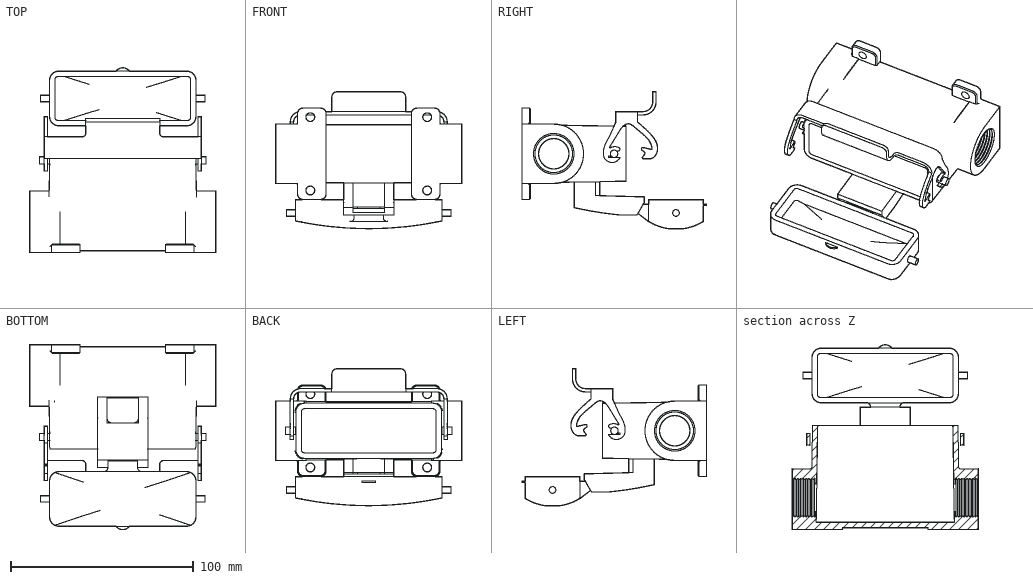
import cadquery as cq
import math


LENGTH = 102.0
BODY_BACK = 1.0
BODY_FRONT = 57.2
BODY_HALF_X = 40.9
BODY_HALF_Z = 16.0
BODY_RADIUS = 5.7
DRAFT_ANGLE = 0.93
BODY_WALL = 3.1

ENTRY_Y = 17.5
ENTRY_RADIUS = 16.3
ENTRY_INNER_X = 34.5
THREAD_MINOR_RADIUS = 10.3
THREAD_DEPTH = 0.8
THREAD_PITCH = 1.5
THREAD_TURNS = 8
ENTRY_HOLE_RADIUS = 8.3
ENTRY_ROOT_FILLET = 0.6
ENTRY_ROOT_ZONE = 3.1

LUG_INNER_X = 23.4
LUG_OUTER_X = 39.1
LUG_HALF_Z = 25.1
LUG_THICKNESS = 4.8
LUG_CORNER = 3.1
LUG_EDGE_CHAMFER = 0.6
LUG_ROOT_FILLET = 0.8
LUG_HOLE_X = 32.0
LUG_HOLE_Z = 20.1
LUG_HOLE_DIAMETER = 4.7

ARM_HALF_X = 13.8
ARM_BACK = 28.8
NECK_FRONT = 40.3
ARM_SEAT = 1.0
ARM_ROOT = ARM_SEAT - BODY_HALF_Z
ARM_BOTTOM = -33.6
ARM_HEEL = -29.6
ARM_CURVE_MIDDLE = (41.4, -32.0)
ARM_CURVE_END_Y = 53.0
ARM_TOP = -22.8
ARM_TIP_TOP = -23.6
ARM_TIP_Y = 67.2
ARM_TIP_SHOULDER = -26.6
ARM_STOP_Y = 63.1
WEB_HALF_X = 8.6
WEB_RECESS = 0.5
WEB_FRONT = 42.8
WEB_BOTTOM = -29.2
WEB_DROP = 0.8
WEB_CORNER = 2.4

COVER_HALF_X = 40.2
COVER_BACK = 69.5
COVER_FRONT = 99.6
COVER_MID_Y = (COVER_BACK + COVER_FRONT) / 2
COVER_RIM = -25.2
COVER_BOTTOM = -41.1
COVER_CORNER = 5.3
COVER_WALL = 3.1
POCKET_CORNER = 1.5
DOME_LONG_RADIUS = 192.8
DOME_SHORT_RADIUS = 28.6
DOME_CLIP = 0.3
DOME_EDGE_FILLET = 0.6
DOME_EDGE_BAND = 1.0

TAB_HALF_X = 8.2
TAB_TOP = -27.5
TAB_TIP_Z = -32.7
TAB_ROOT_Z = -37.1
TAB_ROOT_FILLET = 2.0

EYELET_TIP_Y = 101.4
EYELET_RADIUS = 4.6
EYELET_THICKNESS = 0.8

LEVER_SHEET = 1.9
LEVER_HALF_X = 43.0
LEVER_TOP = 23.2
LEVER_BEND_RADIUS = 5.7
LEVER_BACK = 51.5
LEVER_FRONT = 63.5
HANDLE_HALF_X = 20.3
HANDLE_BEND_START = 66.5
HANDLE_INNER_RADIUS = 5.2
HANDLE_TOP = 34.1
HANDLE_CORNER = 3.1
HANDLE_ROOT_FILLET = 2.0

LATCH_LEG_OUTER = [(67.3, 14.1), (71.6, 9.7), (73.8, 6.1), (74.5, 2.0), (73.2, -1.0), (70.6, -2.9)]
LATCH_LOWER_TIP = [(66.4, -2.9), (66.0, -2.0)]
LATCH_NOTCH = [(67.1, -0.5), (67.4, 0.4), (67.0, 1.1)]
LATCH_UPPER_TIP = [(65.7, 2.0), (65.6, 3.0), (66.5, 3.5)]
LATCH_HEEL = (71.4, 2.3)
LEGS_INNER = [(69.8, 7.1), (64.9, 12.0), (61.2, 15.1), (58.5, 16.4), (56.1, 15.5), (53.8, 12.9)]
PIVOT_HEEL = [(48.1, 3.7), (48.3, 3.2)]
PIVOT_UPPER_EDGE = [(50.5, 3.9), (52.9, 3.6)]
PIVOT_UPPER_TIP = [(53.8, 2.5), (52.8, 1.5)]
PIVOT_RELIEF = [(47.6, -1.2), (47.6, -2.0)]
PIVOT_LOWER_TIP = (53.9, -2.0)
PIVOT_ROUND = [(49.5, -4.8), (44.7, 0)]
PIVOT_LEG_OUTER = [(44.8, 1.9), (45.8, 5.3), (48.3, 10.0)]

PIN_SEAT = 1.0
LEVER_PIN_RADIUS = 2.0
LEVER_PIN_Y = 50.6
LEVER_PIN_FACE_X = 40.1
LEVER_PIN_END_X = 45.7
COVER_PIN_RADIUS = 1.8
COVER_PIN_Z = -32.4
COVER_PIN_END_X = 45.1

SIDES = (-1, 1)


def box(x0, x1, y0, y1, z0, z1):
    """Box between two opposite corners."""
    size = (x1 - x0, y1 - y0, z1 - z0)
    return cq.Workplane("XY").box(*size, centered=False).translate((x0, y0, z0))


def zone(centre, size):
    """Selector of the edges whose middle lies in a cube around a point."""
    half = size / 2
    low = tuple(value - half for value in centre)
    high = tuple(value + half for value in centre)
    return cq.selectors.BoxSelector(low, high)


def profile_plane(x):
    """Sketch plane across the part: local x is Y, local y is Z, extruding towards +X."""
    return cq.Workplane("YZ", origin=(x, 0, 0))


def mirrored(shape):
    """Both the +X shape and its mirror image, as a pair."""
    return shape, shape.mirror("YZ")


def tapered_shell(half_x, half_z, back, corner):
    """Rounded block that tapers from its back to the mating face."""
    plane = cq.Plane(origin=(0, back, 0), xDir=(1, 0, 0), normal=(0, 1, 0))
    outline = cq.Sketch().rect(2 * half_x, 2 * half_z).vertices().fillet(corner)
    return cq.Workplane(plane).placeSketch(outline).extrude(BODY_FRONT - back, taper=DRAFT_ANGLE)


def cable_entry():
    """Round-fronted boss at the +X end."""
    return (
        profile_plane(ENTRY_INNER_X)
        .moveTo(0, -ENTRY_RADIUS)
        .lineTo(ENTRY_Y, -ENTRY_RADIUS)
        .threePointArc((ENTRY_Y + ENTRY_RADIUS, 0), (ENTRY_Y, ENTRY_RADIUS))
        .lineTo(0, ENTRY_RADIUS)
        .close()
        .extrude(LENGTH / 2 - ENTRY_INNER_X)
    )


def fillet_entry_roots(housing):
    """Rounds the arcs where the entries' round fronts meet the shell's flat end walls."""
    for x in (-BODY_HALF_X, BODY_HALF_X):
        arc_zone = zone((x, ENTRY_Y + ENTRY_RADIUS, 0), ENTRY_ROOT_ZONE)
        housing = housing.edges(arc_zone).fillet(ENTRY_ROOT_FILLET)
    return housing


def threaded_bore():
    """Threaded bore of the +X entry, as a stack of ring grooves, with a smaller hole behind it."""
    minor = THREAD_MINOR_RADIUS
    major = minor + THREAD_DEPTH
    profile = cq.Workplane("XY").moveTo(LENGTH / 2, 0).lineTo(LENGTH / 2, major)
    for turn in range(THREAD_TURNS):
        start = LENGTH / 2 - turn * THREAD_PITCH
        profile = profile.lineTo(start - THREAD_PITCH / 2, minor)
        profile = profile.lineTo(start - THREAD_PITCH, major)
    thread_end = LENGTH / 2 - THREAD_TURNS * THREAD_PITCH
    profile = profile.lineTo(thread_end, ENTRY_HOLE_RADIUS).lineTo(0, ENTRY_HOLE_RADIUS).lineTo(0, 0).close()
    return profile.revolve(360, (0, 0, 0), (1, 0, 0)).translate((0, ENTRY_Y, 0))


def mounting_lug():
    """Upright foot at the +X end, rounded at its corners and bevelled around its front face."""
    return (
        box(LUG_INNER_X, LUG_OUTER_X, 0, LUG_THICKNESS, -LUG_HALF_Z, LUG_HALF_Z)
        .edges("|Y")
        .fillet(LUG_CORNER)
        .faces(">Y")
        .chamfer(LUG_EDGE_CHAMFER)
    )


def fillet_lug_roots(housing):
    """Rounds the inside corners where the lugs' outer sides meet the cable entries."""
    for x in (-LUG_OUTER_X, LUG_OUTER_X):
        for z in (-ENTRY_RADIUS, ENTRY_RADIUS):
            corner_zone = zone((x, LUG_THICKNESS / 2, z), LUG_THICKNESS)
            housing = housing.edges("|Y").edges(corner_zone).fillet(LUG_ROOT_FILLET)
    return housing


def lug_holes():
    """Screw holes of the +X foot."""
    centres = [(LUG_HOLE_X, -LUG_HOLE_Z), (LUG_HOLE_X, LUG_HOLE_Z)]
    return cq.Workplane("XZ").pushPoints(centres).circle(LUG_HOLE_DIAMETER / 2).extrude(-LUG_THICKNESS)


def hinge_arm():
    """Bracket that drops from the shell and reaches out to the cover's stop tab."""
    arm = (
        profile_plane(-ARM_HALF_X)
        .moveTo(ARM_BACK, ARM_ROOT)
        .lineTo(NECK_FRONT, ARM_ROOT)
        .lineTo(NECK_FRONT, ARM_TOP)
        .lineTo(ARM_TIP_Y, ARM_TIP_TOP)
        .lineTo(ARM_TIP_Y, ARM_TIP_SHOULDER)
        .lineTo(ARM_STOP_Y, ARM_BOTTOM)
        .lineTo(ARM_CURVE_END_Y, ARM_BOTTOM)
        .threePointArc(ARM_CURVE_MIDDLE, (ARM_BACK, ARM_HEEL))
        .close()
        .extrude(2 * ARM_HALF_X)
    )
    slot = box(-WEB_HALF_X, WEB_HALF_X, ARM_BACK, WEB_FRONT, ARM_BOTTOM, -BODY_HALF_Z)
    web = (
        profile_plane(-WEB_HALF_X)
        .moveTo(ARM_BACK + WEB_RECESS, ARM_ROOT)
        .lineTo(WEB_FRONT, ARM_ROOT)
        .lineTo(WEB_FRONT, WEB_BOTTOM - WEB_DROP)
        .lineTo(ARM_BACK + WEB_RECESS, WEB_BOTTOM)
        .close()
        .extrude(2 * WEB_HALF_X)
        .edges("|Z and >Y")
        .fillet(WEB_CORNER)
    )
    return arm.cut(slot).union(web)


def make_housing():
    housing = tapered_shell(BODY_HALF_X, BODY_HALF_Z, BODY_BACK, BODY_RADIUS)
    for part in (*mirrored(cable_entry()), *mirrored(mounting_lug()), hinge_arm()):
        housing = housing.union(part)
    housing = fillet_lug_roots(housing)
    housing = fillet_entry_roots(housing)
    cavity = tapered_shell(
        BODY_HALF_X - BODY_WALL, BODY_HALF_Z - BODY_WALL, BODY_BACK + BODY_WALL, BODY_RADIUS - BODY_WALL
    )
    for tool in (cavity, *mirrored(threaded_bore()), *mirrored(lug_holes())):
        housing = housing.cut(tool)
    return housing


def domed_block(inset, corner):
    """Rounded block whose bottom is the overlap of two crossing cylinders."""
    half_x = COVER_HALF_X - inset
    block = box(
        -half_x, half_x, COVER_BACK + inset, COVER_FRONT - inset, COVER_BOTTOM, COVER_RIM
    ).edges("|Z").fillet(corner)
    long_centre = COVER_BOTTOM + DOME_LONG_RADIUS
    long_curve = (
        cq.Workplane("XZ", origin=(0, COVER_BACK, 0))
        .center(0, long_centre)
        .circle(DOME_LONG_RADIUS - inset)
        .extrude(COVER_BACK - COVER_FRONT)
    )
    short_centre = COVER_BOTTOM - DOME_CLIP + DOME_SHORT_RADIUS
    short_curve = (
        profile_plane(-COVER_HALF_X)
        .center(COVER_MID_Y, short_centre)
        .circle(DOME_SHORT_RADIUS - inset)
        .extrude(2 * COVER_HALF_X)
    )
    return block.intersect(long_curve).intersect(short_curve)


def stop_tab():
    """Wedge on the cover's back wall that rests on the arm's sloped stop face."""
    wall_y = COVER_BACK + COVER_WALL / 2
    root_x = TAB_HALF_X + TAB_ROOT_FILLET
    mid_x = root_x - TAB_ROOT_FILLET * math.sqrt(0.5)
    mid_y = COVER_BACK - TAB_ROOT_FILLET * (1 - math.sqrt(0.5))
    plan = (
        cq.Workplane("XY", origin=(0, 0, TAB_ROOT_Z))
        .moveTo(-TAB_HALF_X, ARM_STOP_Y)
        .lineTo(TAB_HALF_X, ARM_STOP_Y)
        .lineTo(TAB_HALF_X, COVER_BACK - TAB_ROOT_FILLET)
        .threePointArc((mid_x, mid_y), (root_x, COVER_BACK))
        .lineTo(root_x, wall_y)
        .lineTo(-root_x, wall_y)
        .lineTo(-root_x, COVER_BACK)
        .threePointArc((-mid_x, mid_y), (-TAB_HALF_X, COVER_BACK - TAB_ROOT_FILLET))
        .close()
        .extrude(TAB_TOP - TAB_ROOT_Z)
    )
    slope = (ARM_TIP_Y - ARM_STOP_Y) / (ARM_TIP_SHOULDER - ARM_BOTTOM)
    side = (
        profile_plane(-root_x)
        .moveTo(wall_y, TAB_TOP)
        .lineTo(ARM_TIP_Y + slope * (TAB_TOP - ARM_TIP_SHOULDER), TAB_TOP)
        .lineTo(ARM_TIP_Y + slope * (TAB_TIP_Z - ARM_TIP_SHOULDER), TAB_TIP_Z)
        .lineTo(COVER_BACK, TAB_ROOT_Z)
        .lineTo(wall_y, TAB_ROOT_Z)
        .close()
        .extrude(2 * root_x)
    )
    return plan.intersect(side)


def eyelet():
    """Thin rounded tongue on the cover's front wall."""
    reach = EYELET_TIP_Y - COVER_FRONT
    half_width = math.sqrt(EYELET_RADIUS**2 - (EYELET_RADIUS - reach) ** 2)
    return (
        cq.Workplane("XY", origin=(0, 0, TAB_TOP))
        .moveTo(-half_width, COVER_FRONT)
        .threePointArc((0, EYELET_TIP_Y), (half_width, COVER_FRONT))
        .close()
        .extrude(-EYELET_THICKNESS)
    )


def fillet_dome_edges(shell):
    """Rounds the edges where the outer walls meet the dome, all near the height of the tab's root."""
    low = (-COVER_HALF_X, COVER_BACK, TAB_ROOT_Z - DOME_EDGE_BAND)
    high = (COVER_HALF_X, COVER_FRONT, TAB_ROOT_Z + DOME_EDGE_BAND)
    margin = cq.Vector(DOME_EDGE_BAND, DOME_EDGE_BAND, 0)
    selector = cq.selectors.BoxSelector(cq.Vector(low) - margin, cq.Vector(high) + margin)
    return shell.edges(selector).fillet(DOME_EDGE_FILLET)


def make_cover():
    shell = fillet_dome_edges(domed_block(0, COVER_CORNER))
    pocket = domed_block(COVER_WALL, POCKET_CORNER)
    return shell.union(stop_tab()).union(eyelet()).cut(pocket)


def lever_arch(half_x, radius):
    """Solid block under a flat top whose two bends have the given radius, ending at the bends' feet."""
    foot = LEVER_TOP - LEVER_BEND_RADIUS
    bend_x = half_x - radius
    diagonal = radius * math.sqrt(0.5)
    return (
        cq.Workplane("XZ", origin=(0, LEVER_BACK, 0))
        .moveTo(-half_x, foot)
        .threePointArc((-bend_x - diagonal, foot + diagonal), (-bend_x, foot + radius))
        .lineTo(bend_x, foot + radius)
        .threePointArc((bend_x + diagonal, foot + diagonal), (half_x, foot))
        .close()
        .extrude(LEVER_BACK - LEVER_FRONT)
    )


def lever_strap():
    """Bent strap over the housing, with rounded bends into both side plates."""
    outer = lever_arch(LEVER_HALF_X, LEVER_BEND_RADIUS)
    return outer.cut(lever_arch(LEVER_HALF_X - LEVER_SHEET, LEVER_BEND_RADIUS - LEVER_SHEET))


def lever_handle():
    """Finger grip that runs out of the strap and curls upwards."""
    inner = HANDLE_INNER_RADIUS
    outer = inner + LEVER_SHEET
    bend_z = LEVER_TOP + inner
    diagonal = math.sqrt(0.5)
    grip = (
        profile_plane(-HANDLE_HALF_X)
        .moveTo(LEVER_FRONT, LEVER_TOP)
        .lineTo(HANDLE_BEND_START, LEVER_TOP)
        .threePointArc(
            (HANDLE_BEND_START + inner * diagonal, bend_z - inner * diagonal),
            (HANDLE_BEND_START + inner, bend_z),
        )
        .lineTo(HANDLE_BEND_START + inner, HANDLE_TOP)
        .lineTo(HANDLE_BEND_START + outer, HANDLE_TOP)
        .lineTo(HANDLE_BEND_START + outer, bend_z)
        .threePointArc(
            (HANDLE_BEND_START + outer * diagonal, bend_z - outer * diagonal),
            (HANDLE_BEND_START, bend_z - outer),
        )
        .lineTo(LEVER_FRONT, LEVER_TOP - LEVER_SHEET)
        .close()
        .extrude(2 * HANDLE_HALF_X)
    )
    return grip.edges("|Y and >Z").fillet(HANDLE_CORNER)


def lever_side():
    """Side plate at +X: a long leg with a latch claw and a short leg with a claw on the pivot pin."""
    foot = LEVER_TOP - LEVER_BEND_RADIUS
    near = 0.6 * LEVER_PIN_RADIUS
    far = 0.8 * LEVER_PIN_RADIUS
    return (
        profile_plane(LEVER_HALF_X - LEVER_SHEET)
        .moveTo(LEVER_BACK, foot)
        .lineTo(LEVER_FRONT, foot)
        .spline(LATCH_LEG_OUTER, includeCurrent=True)
        .polyline(LATCH_LOWER_TIP, includeCurrent=True)
        .lineTo(*LATCH_NOTCH[0])
        .threePointArc(*LATCH_NOTCH[1:])
        .lineTo(*LATCH_UPPER_TIP[0])
        .threePointArc(*LATCH_UPPER_TIP[1:])
        .lineTo(*LATCH_HEEL)
        .spline(LEGS_INNER, includeCurrent=True)
        .polyline(PIVOT_HEEL, includeCurrent=True)
        .threePointArc(*PIVOT_UPPER_EDGE)
        .threePointArc(*PIVOT_UPPER_TIP)
        .lineTo(LEVER_PIN_Y + far, near)
        .threePointArc((LEVER_PIN_Y - far, near), (LEVER_PIN_Y - near, -far))
        .polyline(PIVOT_RELIEF, includeCurrent=True)
        .lineTo(*PIVOT_LOWER_TIP)
        .threePointArc(*PIVOT_ROUND)
        .spline(PIVOT_LEG_OUTER, includeCurrent=True)
        .close()
        .extrude(LEVER_SHEET)
    )


def make_lever():
    lever = lever_strap().union(lever_handle())
    for x in (-HANDLE_HALF_X, HANDLE_HALF_X):
        root_zone = zone((x, LEVER_FRONT, LEVER_TOP - LEVER_SHEET / 2), LEVER_SHEET)
        lever = lever.edges("|Z").edges(root_zone).fillet(HANDLE_ROOT_FILLET)
    for side in mirrored(lever_side()):
        lever = lever.union(side)
    return lever


def make_pin(side, radius, face_x, end_x, y, z):
    """Round pin that stands out of a side wall; side is -1 or 1."""
    start_x = face_x - PIN_SEAT
    return profile_plane(side * start_x).center(y, z).circle(radius).extrude(side * (end_x - start_x))


lever_pins = [make_pin(s, LEVER_PIN_RADIUS, LEVER_PIN_FACE_X, LEVER_PIN_END_X, LEVER_PIN_Y, 0) for s in SIDES]
cover_pins = [
    make_pin(s, COVER_PIN_RADIUS, COVER_HALF_X, COVER_PIN_END_X, COVER_MID_Y, COVER_PIN_Z) for s in SIDES
]

housing = make_housing()
for pin in lever_pins:
    housing = housing.cut(pin)
cover = make_cover()
for pin in cover_pins:
    cover = cover.cut(pin)
lever = make_lever()

pins = lever_pins + cover_pins
result = cq.Compound.makeCompound(
    [housing.val(), cover.val(), lever.val(), *(pin.val() for pin in pins)]
)